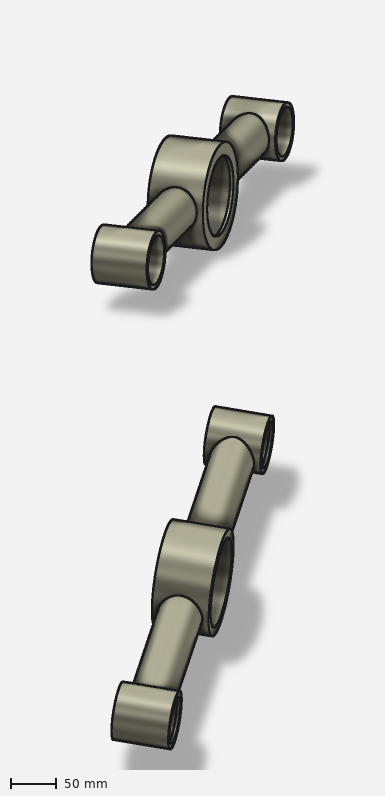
import cadquery as cq

width = 64.0

hub_diameter = 120.0
hub_seat_diameter = 100.0
hub_lip_diameter = 90.0
hub_lip_thickness = 4.0

eye_diameter = 65.0
eye_seat_diameter = 55.0
eye_lip_diameter = 52.0
eye_lip_thickness = 4.0

arm_diameter = 50.0
overall_length = 505.0
eye_offset = (overall_length - eye_diameter) / 2


def x_cylinder(diameter, y, x_start, x_end):
    """Cylinder parallel to X, centred at height zero and the given Y."""
    return (
        cq.Workplane("YZ", origin=(x_start, y, 0))
        .circle(diameter / 2)
        .extrude(x_end - x_start)
    )


x_min = -width / 2
x_max = width / 2
eye_positions = (-eye_offset, eye_offset)

result = cq.Workplane("XZ").circle(arm_diameter / 2).extrude(eye_offset, both=True)
result = result.union(x_cylinder(hub_diameter, 0, x_min, x_max))
for eye_y in eye_positions:
    result = result.union(x_cylinder(eye_diameter, eye_y, x_min, x_max))

result = result.cut(x_cylinder(hub_lip_diameter, 0, x_min, x_max))
result = result.cut(x_cylinder(hub_seat_diameter, 0, x_min, x_max - hub_lip_thickness))

for eye_y in eye_positions:
    result = result.cut(x_cylinder(eye_lip_diameter, eye_y, x_min, x_max))
    result = result.cut(x_cylinder(eye_seat_diameter, eye_y, x_min + eye_lip_thickness, x_max))